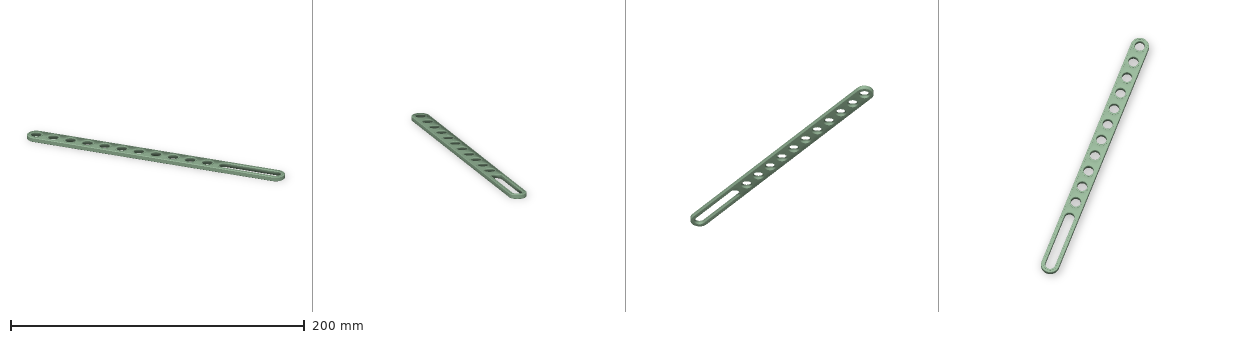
import cadquery as cq

length = 187.5
pitch_count = 15
pitch = length / pitch_count
width = pitch
thickness = 3.2

hole_count = 11
hole_diameter = 7.0
edge_chamfer = 0.3

collar_diameter = 9.2
rim_width = 1.1
recess_depth = 0.22

first_hole_x = -(length - width) / 2
slot_start_x = first_hole_x + hole_count * pitch
slot_end_x = -first_hole_x


def round_ended_block(start_x, end_x, block_width, bottom_z, height):
    """Block with semicircular ends centred at start_x and end_x."""
    middle_x = (start_x + end_x) / 2
    return (
        cq.Workplane("XY", origin=(middle_x, 0, bottom_z))
        .slot2D(end_x - start_x + block_width, block_width)
        .extrude(height)
    )


def hole_row_and_slot(diameter, bottom_z, height):
    """One cylinder per hole, plus a round-ended block of the same width for the slot."""
    hole_centres = [(first_hole_x + i * pitch, 0) for i in range(hole_count)]
    cylinders = (
        cq.Workplane("XY", origin=(0, 0, bottom_z))
        .pushPoints(hole_centres)
        .circle(diameter / 2)
        .extrude(height)
    )
    slot = round_ended_block(slot_start_x, slot_end_x, diameter, bottom_z, height)
    return cylinders.union(slot)


def perforated_bar():
    """Bar with its holes and slot, chamfered along every top and bottom edge."""
    bar = round_ended_block(first_hole_x, slot_end_x, width, 0, thickness)
    openings = hole_row_and_slot(hole_diameter, 0, thickness)
    return bar.cut(openings).faces("<Z or >Z").edges().chamfer(edge_chamfer)


def top_recess():
    """Material removed from the top face between the rim and the collars."""
    floor_z = thickness - recess_depth
    inside_rim = round_ended_block(first_hole_x, slot_end_x, width - 2 * rim_width, floor_z, recess_depth)
    collars = hole_row_and_slot(collar_diameter, floor_z, recess_depth)
    return inside_rim.cut(collars)


result = perforated_bar().cut(top_recess())